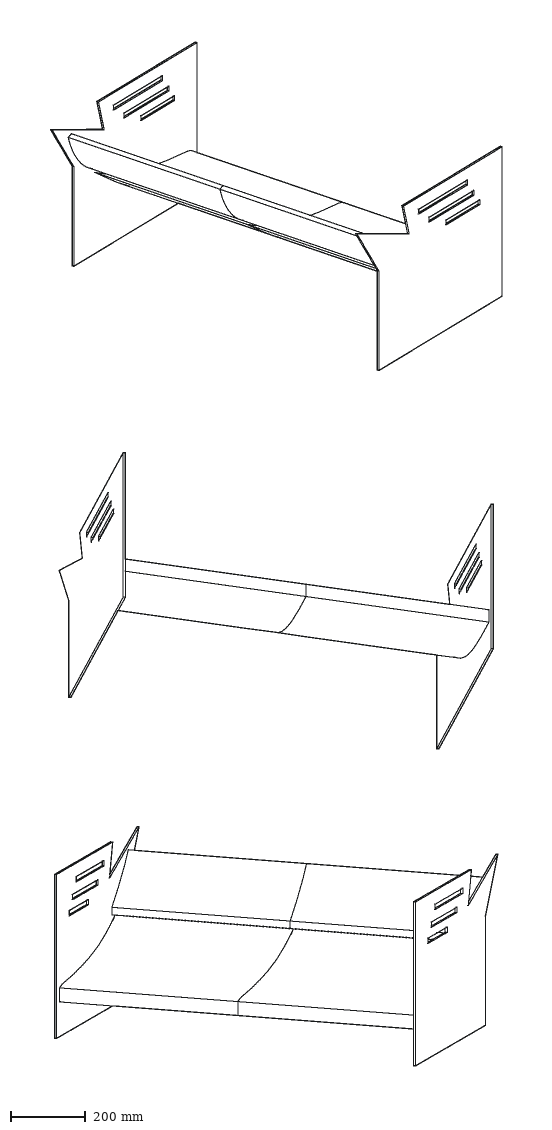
import cadquery as cq

overall_width = 1029.98
overall_depth = 646.88
overall_height = 450.0
panel_thickness = 6.0

panel_rear_y = overall_depth / 2
spike_tip_y = -overall_depth / 2
panel_depth = 550.0
panel_front_y = panel_rear_y - panel_depth
spike_root_z = 300.0
notch_top_y = panel_rear_y - 440.0
notch_bottom_y = panel_rear_y - 414.5
notch_bottom_z = 356.0

slot_height = 14.5
slots = [
    (154.0, 218.0, 405.5),
    (125.5, 200.0, 362.5),
    (100.0, 150.0, 323.5),
]

seat_rear_y = 300.0
seat_rear_top = (seat_rear_y, 134.0)
seat_rear_bottom = (seat_rear_y, 95.5)
seat_tip = (-134.0, 245.5)
seat_top_curve = [
    (290.0, 138.0),
    (255.0, 142.5),
    (174.0, 152.0),
    (83.0, 167.0),
    (-8.0, 190.0),
    (-75.0, 216.0),
]
seat_underside_curve = [(-72.0, 201.0), (-10.0, 159.0), (36.0, 134.0), (105.0, 109.5), (190.0, 97.0)]

backrest_rear_y = -109.0
backrest_rear_top = (backrest_rear_y, 272.0)
backrest_rear_bottom = (backrest_rear_y, 251.5)
backrest_inner_edge = (-237.5, 404.0)
backrest_outer_edge = (-251.5, 398.5)
backrest_inner_curve = [(-215.0, 374.5), (-190.0, 347.0), (-150.0, 308.0)]
backrest_outer_curve = [(-130.0, 256.0), (-165.0, 272.5), (-205.0, 309.0), (-231.0, 348.0)]

panel_inner_x = overall_width / 2 - panel_thickness
cushion_length = panel_inner_x


def side_panel(start_x):
    """Upright panel with a notched, spiked front corner and three slots."""
    panel = (
        cq.Workplane("YZ", origin=(start_x, 0, 0))
        .moveTo(panel_rear_y, 0)
        .lineTo(panel_rear_y, overall_height)
        .lineTo(notch_top_y, overall_height)
        .lineTo(notch_bottom_y, notch_bottom_z)
        .lineTo(spike_tip_y, overall_height)
        .lineTo(panel_front_y, spike_root_z)
        .lineTo(panel_front_y, 0)
        .close()
        .extrude(panel_thickness)
    )
    for rear_offset, length, centre_z in slots:
        slot = (
            cq.Workplane("YZ", origin=(start_x, 0, 0))
            .center(panel_rear_y - rear_offset - length / 2, centre_z)
            .rect(length, slot_height)
            .extrude(panel_thickness)
        )
        panel = panel.cut(slot)
    return panel


def seat_cushion(start_x):
    """Seat: thick at the rear, curving up to a thin edge at the front."""
    return (
        cq.Workplane("YZ", origin=(start_x, 0, 0))
        .moveTo(*seat_rear_top)
        .spline(seat_top_curve + [seat_tip], includeCurrent=True)
        .spline(seat_underside_curve + [seat_rear_bottom], includeCurrent=True)
        .close()
        .extrude(cushion_length)
    )


def backrest_cushion(start_x):
    """Backrest: rises and steepens toward the front, narrowing to a square upper edge."""
    return (
        cq.Workplane("YZ", origin=(start_x, 0, 0))
        .moveTo(*backrest_rear_bottom)
        .spline(backrest_outer_curve + [backrest_outer_edge], includeCurrent=True)
        .lineTo(*backrest_inner_edge)
        .spline(backrest_inner_curve + [backrest_rear_top], includeCurrent=True)
        .close()
        .extrude(cushion_length)
    )


side_panels = [side_panel(x) for x in (-overall_width / 2, panel_inner_x)]
cushion_starts = (-cushion_length, 0)
seat_cushions = [seat_cushion(x) for x in cushion_starts]
backrest_cushions = [backrest_cushion(x) for x in cushion_starts]

bodies = side_panels + seat_cushions + backrest_cushions
result = cq.Compound.makeCompound([body.val() for body in bodies])